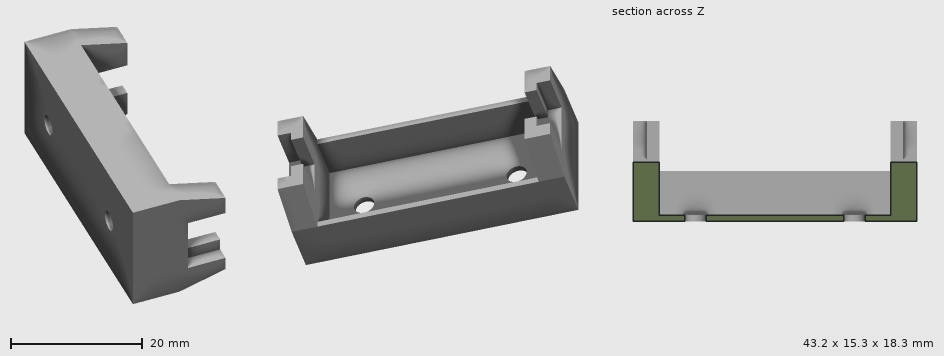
import cadquery as cq

length = 43.2
depth = 15.25
height = 18.3

plate_depth = 7.65
arm_thickness = 4.05
arm_taper = 2.05

front_wall = 1.0
pocket_side_wall = 1.0

notch_depth = 6.2
wide_notch_bottom = 4.27
wide_notch_height = 9.0
wide_notch_thickness = 2.15
narrow_notch_bottom = 6.25
narrow_notch_height = 5.53

hole_diameter = 3.2
hole_spacing = 24.15


def box(x_start, y_start, z_start, x_size, y_size, z_size):
    """Box placed by its lowest corner."""
    return cq.Workplane("XY").box(x_size, y_size, z_size, centered=False).translate(
        (x_start, y_start, z_start)
    )


profile = [
    (0, 0),
    (plate_depth, 0),
    (depth, arm_taper),
    (depth, height - arm_taper),
    (plate_depth, height),
    (0, height),
]
body = cq.Workplane("YZ").polyline(profile).close().extrude(length)

arm_gap = length - 2 * arm_thickness
body = body.cut(box(arm_thickness, plate_depth, 0, arm_gap, depth - plate_depth, height))

body = body.cut(
    box(
        arm_thickness,
        front_wall,
        pocket_side_wall,
        arm_gap,
        plate_depth - front_wall,
        height - 2 * pocket_side_wall,
    )
)

notch_floor = depth - notch_depth
body = body.cut(box(0, notch_floor, narrow_notch_bottom, length, notch_depth, narrow_notch_height))

for notch_start in (0, length - wide_notch_thickness):
    body = body.cut(
        box(
            notch_start,
            notch_floor,
            wide_notch_bottom,
            wide_notch_thickness,
            notch_depth,
            wide_notch_height,
        )
    )

for hole_x in ((length - hole_spacing) / 2, (length + hole_spacing) / 2):
    hole = cq.Workplane("XZ").center(hole_x, height / 2).circle(hole_diameter / 2).extrude(-front_wall)
    body = body.cut(hole)

result = body